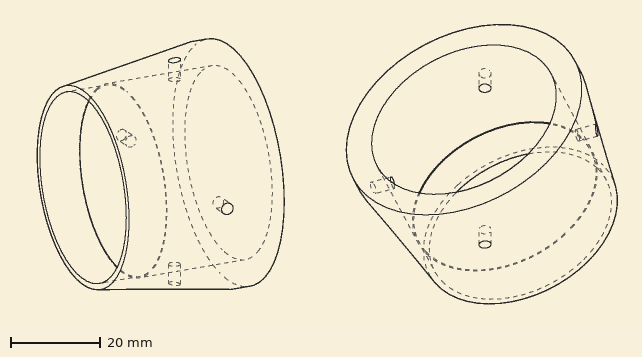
import cadquery as cq

wide_diameter = 56.25
narrow_diameter = 46.35
length = 36.35
rim_length = 3.95
narrow_bore_diameter = 43.55
narrow_bore_depth = 10.0
wide_bore_diameter = 44.1
hole_diameter = 2.7
hole_from_wide_end = 13.5

wide_radius = wide_diameter / 2
narrow_radius = narrow_diameter / 2
narrow_bore_radius = narrow_bore_diameter / 2
wide_bore_radius = wide_bore_diameter / 2
narrow_end_y = -length / 2
wide_end_y = length / 2
rim_start_y = wide_end_y - rim_length
bore_step_y = narrow_end_y + narrow_bore_depth
hole_y = wide_end_y - hole_from_wide_end


def tapered_sleeve():
    """Cone with a cylindrical rim and a bore that opens slightly past a small step."""
    return (
        cq.Workplane("XY")
        .moveTo(narrow_bore_radius, narrow_end_y)
        .lineTo(narrow_radius, narrow_end_y)
        .lineTo(wide_radius, rim_start_y)
        .lineTo(wide_radius, wide_end_y)
        .lineTo(wide_bore_radius, wide_end_y)
        .lineTo(wide_bore_radius, bore_step_y)
        .lineTo(narrow_bore_radius, bore_step_y)
        .close()
        .revolve(360, (0, 0, 0), (0, 1, 0))
    )


def cross_hole(plane):
    """Drill passing through both opposite walls, normal to the given plane."""
    return (
        cq.Workplane(plane, origin=(0, hole_y, 0))
        .circle(hole_diameter / 2)
        .extrude(wide_diameter, both=True)
    )


result = tapered_sleeve()
for drill_plane in ("XY", "YZ"):
    result = result.cut(cross_hole(drill_plane))